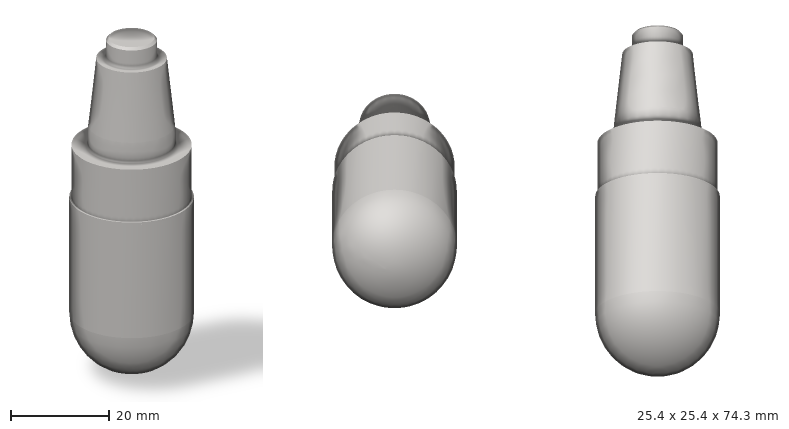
import cadquery as cq

total_height = 74.3

housing_radius = 25.4 / 2
housing_top = 38.2

flange_thickness = 0.45
collar_radius = 24.5 / 2
collar_top = 50.3
neck_radius = 8.9
neck_bulge_radius = 9.0
neck_fillet = 0.45
taper_bottom = 54.75
taper_bottom_radius = 8.85
taper_top_radius = 7.2
tip_radius = 10.4 / 2
tip_height = 4.5
tip_fillet = 0.6
tip_chamfer = 0.5

flange_top = housing_top + flange_thickness
neck_bottom = collar_top + neck_fillet
neck_bulge_height = (neck_bottom + taper_bottom) / 2
tip_bottom = total_height - tip_height


def make_housing():
    """Round-ended cylinder with a flat upper end."""
    return (
        cq.Workplane("XZ")
        .moveTo(0, 0)
        .radiusArc((housing_radius, housing_radius), -housing_radius)
        .lineTo(housing_radius, housing_top)
        .lineTo(0, housing_top)
        .close()
        .revolve(360, (0, 0), (0, 1))
    )


def make_plug():
    """Thin flange resting on the housing, with a collar, a tapered neck and a cylindrical tip."""
    return (
        cq.Workplane("XZ")
        .moveTo(0, housing_top)
        .lineTo(housing_radius, housing_top)
        .lineTo(housing_radius, flange_top)
        .lineTo(collar_radius, flange_top)
        .lineTo(collar_radius, collar_top)
        .lineTo(neck_radius + neck_fillet, collar_top)
        .radiusArc((neck_radius, neck_bottom), neck_fillet)
        .threePointArc((neck_bulge_radius, neck_bulge_height), (taper_bottom_radius, taper_bottom))
        .lineTo(taper_top_radius, tip_bottom)
        .lineTo(tip_radius + tip_fillet, tip_bottom)
        .radiusArc((tip_radius, tip_bottom + tip_fillet), tip_fillet)
        .lineTo(tip_radius, total_height - tip_chamfer)
        .lineTo(tip_radius - tip_chamfer, total_height)
        .lineTo(0, total_height)
        .close()
        .revolve(360, (0, 0), (0, 1))
    )


housing = make_housing()
plug = make_plug()

result = cq.Compound.makeCompound([housing.val(), plug.val()])